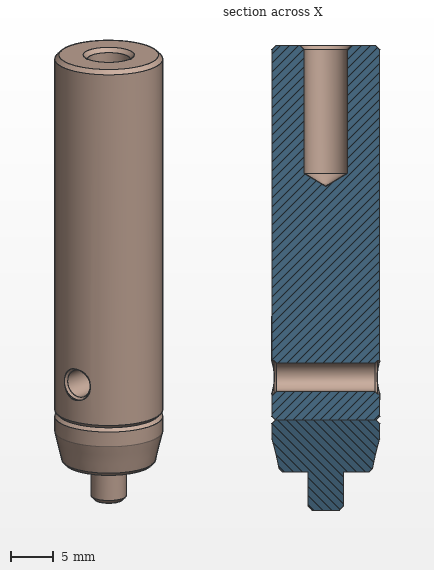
import math

import cadquery as cq

outer_radius = 12.68 / 2
total_length = 54.5
joint_chamfer = 0.4

pin_radius = 4.2 / 2
pin_length = 4.5
pin_chamfer = 0.5
nose_length = 6.1
rim_length = 2.2
nose_end_radius = 5.5
nose_end_chamfer = 0.4

top_chamfer = 0.5
bore_radius = 5.0 / 2
bore_chamfer = 0.5
bore_depth = 15.0
drill_point_angle = 118.0
cross_hole_radius = 3.3 / 2
cross_hole_mouth_radius = 3.85 / 2
cross_hole_height = 5.0

joint_z = pin_length + nose_length
cross_hole_z = joint_z + cross_hole_height


def make_nose():
    """Tapered end cap with its guide pin, revolved about Z."""
    flank_top_z = joint_z - rim_length
    flank_bottom_z = pin_length + nose_end_chamfer
    profile = [
        (0, 0),
        (pin_radius - pin_chamfer, 0),
        (pin_radius, pin_chamfer),
        (pin_radius, pin_length),
        (nose_end_radius - nose_end_chamfer, pin_length),
        (nose_end_radius, flank_bottom_z),
        (outer_radius, flank_top_z),
        (outer_radius, joint_z - joint_chamfer),
        (outer_radius - joint_chamfer, joint_z),
        (0, joint_z),
    ]
    return cq.Workplane("XZ").polyline(profile).close().revolve(360, (0, 0), (0, 1))


def make_shank_blank():
    """Chamfered bar with the drilled and countersunk axial bore, revolved about Z."""
    bore_floor_z = total_length - bore_depth
    drill_point_length = bore_radius / math.tan(math.radians(drill_point_angle / 2))
    profile = [
        (0, joint_z),
        (outer_radius - joint_chamfer, joint_z),
        (outer_radius, joint_z + joint_chamfer),
        (outer_radius, total_length - top_chamfer),
        (outer_radius - top_chamfer, total_length),
        (bore_radius + bore_chamfer, total_length),
        (bore_radius, total_length - bore_chamfer),
        (bore_radius, bore_floor_z),
        (0, bore_floor_z - drill_point_length),
    ]
    return cq.Workplane("XZ").polyline(profile).close().revolve(360, (0, 0), (0, 1))


def make_cross_hole_cutter():
    """Through hole along Y with a 45 degree countersink at each mouth."""
    countersink_depth = cross_hole_mouth_radius - cross_hole_radius
    mouth_y = math.sqrt(outer_radius**2 - cross_hole_mouth_radius**2)

    profile = [
        (0, -outer_radius),
        (cross_hole_mouth_radius, -outer_radius),
        (cross_hole_mouth_radius, -mouth_y),
        (cross_hole_radius, countersink_depth - mouth_y),
        (cross_hole_radius, mouth_y - countersink_depth),
        (cross_hole_mouth_radius, mouth_y),
        (cross_hole_mouth_radius, outer_radius),
        (0, outer_radius),
    ]
    cutter = cq.Workplane("XY").polyline(profile).close().revolve(360, (0, 0), (0, 1))
    return cutter.translate((0, 0, cross_hole_z))


nose = make_nose()
shank = make_shank_blank().cut(make_cross_hole_cutter())

result = cq.Compound.makeCompound([shank.val(), nose.val()])